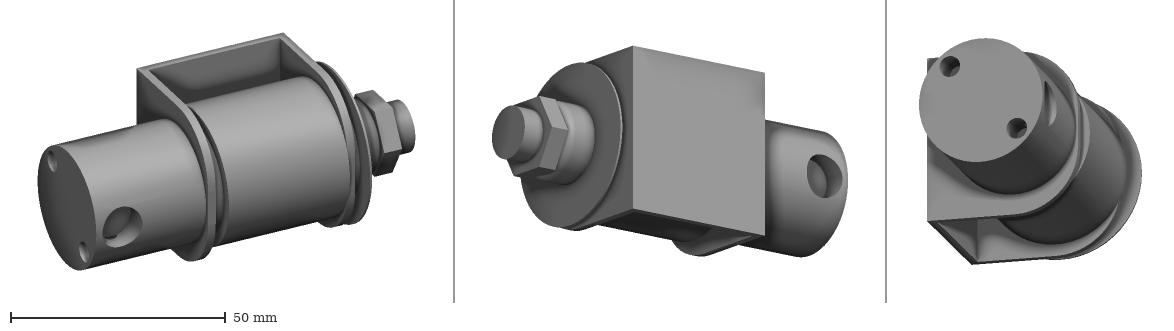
import cadquery as cq
import math


total_length = 88.05
thread_length = 5.3
hex_length = 4.7
boss_length = 8.1
boss_round = 2.5
disc_thickness = 0.5
front_neck_length = 1.85
knob_clearance = 0.3

thread_radius = 6.3
hex_across_flats = 17.2
boss_radius = 9.5
disc_radius = 19.5
neck_radius = 14.3
barrel_radius = 17.0
knob_radius = 15.0

cross_hole_diameter = 10.5
cross_hole_from_end = 6.9
cross_hole_floor = 8.8
pin_hole_diameter = 5.0
pin_hole_depth = 8.8
pin_hole_near = 7.5
pin_hole_far = 8.7

bracket_length = 38.6
bracket_height = 39.45
bracket_thickness = 2.0
bracket_back = 21.1
flange_reach = 15.4
barrel_start_gap = 0.2
barrel_end_gap = 2.6

hex_start = -thread_length
boss_start = hex_start - hex_length
disc_start = boss_start - boss_length
disc_end = disc_start - disc_thickness
bracket_start = disc_end - front_neck_length
bracket_end = bracket_start - bracket_length
barrel_start = bracket_start - bracket_thickness - barrel_start_gap
barrel_end = bracket_end + bracket_thickness + barrel_end_gap
knob_start = bracket_end - knob_clearance
knob_end = -total_length


def rod(radius, start, end):
    """Cylinder on the valve axis from start down to end."""
    return cq.Workplane("XZ", origin=(0, start, 0)).circle(radius).extrude(start - end)


def make_hex():
    across_corners = hex_across_flats / math.cos(math.pi / 6)
    section = cq.Workplane("XZ", origin=(0, hex_start, 0)).polygon(6, across_corners)
    return section.extrude(hex_length)


def make_boss():
    return rod(boss_radius, boss_start, disc_start).faces(">Y").edges().fillet(boss_round)


def make_knob():
    knob = rod(knob_radius, knob_start, knob_end)
    cross_hole_y = knob_end + cross_hole_from_end
    for side in (-1, 1):
        knob = knob.cut(
            cq.Workplane("YZ", origin=(side * cross_hole_floor, cross_hole_y, 0))
            .circle(cross_hole_diameter / 2)
            .extrude(side * knob_radius)
        )
    pin_holes = (
        cq.Workplane("XZ", origin=(0, knob_end, 0))
        .pushPoints([(-pin_hole_near, pin_hole_far), (pin_hole_far, -pin_hole_near)])
        .circle(pin_hole_diameter / 2)
        .extrude(-pin_hole_depth)
    )
    return knob.cut(pin_holes)


def make_valve():
    return (
        rod(thread_radius, 0, hex_start)
        .union(make_hex())
        .union(make_boss())
        .union(rod(disc_radius, disc_start, disc_end))
        .union(rod(neck_radius, disc_end, knob_start))
        .union(rod(barrel_radius, barrel_start, barrel_end))
        .union(make_knob())
    )


def make_bracket():
    width = bracket_back + flange_reach
    block = (
        cq.Workplane(origin=(-bracket_back, bracket_end, 0))
        .box(width, bracket_length, bracket_height, centered=(False, False, True))
        .edges("|Y and >X")
        .fillet(flange_reach)
    )
    inner_length = bracket_length - 2 * bracket_thickness
    channel = cq.Workplane(
        origin=(bracket_thickness - bracket_back, bracket_end + bracket_thickness, 0)
    ).box(width, inner_length, bracket_height, centered=(False, False, True))
    neck_hole = rod(neck_radius, bracket_start, bracket_end)
    return block.cut(channel).cut(neck_hole)


valve = make_valve()
bracket = make_bracket()

result = cq.Compound.makeCompound([valve.val(), bracket.val()])